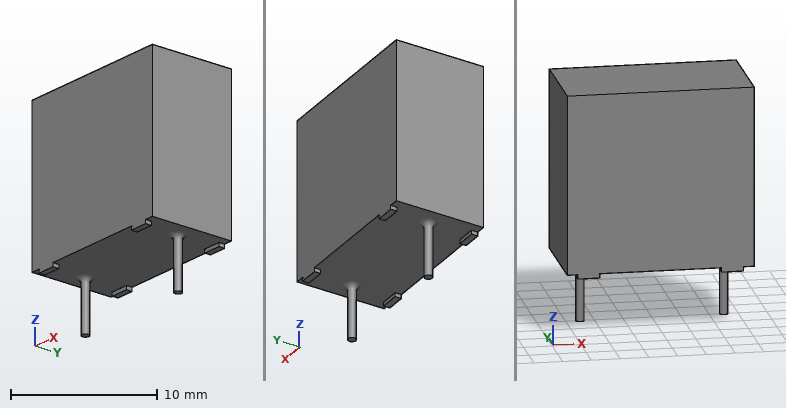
import cadquery as cq

body_length = 13.0
body_width = 7.0
total_height = 17.0
pin_length = 4.25
body_height = total_height - pin_length

pin_diameter = 0.6
pin_pitch = 10.0
flare_radius = 0.46
pin_embed = 0.17

foot_length = 1.53
foot_width = 0.51
foot_height = 0.3

pin_radius = pin_diameter / 2
pin_positions = (-pin_pitch / 2, pin_pitch / 2)


def make_body():
    return cq.Workplane("XY").box(body_length, body_width, body_height, centered=(True, True, False))


def make_pin(x):
    """Pin with a concave quarter-round flare tangent to the pin and the underside."""
    flare_center_x = pin_radius + flare_radius
    flare_mid_offset = flare_radius * 0.5**0.5
    profile = (
        cq.Workplane("XZ")
        .moveTo(0, -pin_length)
        .lineTo(pin_radius, -pin_length)
        .lineTo(pin_radius, -flare_radius)
        .threePointArc(
            (flare_center_x - flare_mid_offset, flare_mid_offset - flare_radius),
            (flare_center_x, 0),
        )
        .lineTo(flare_center_x, pin_embed)
        .lineTo(0, pin_embed)
        .close()
    )
    return profile.revolve(360, (0, 0, 0), (0, 1, 0)).translate((x, 0, 0))


def make_feet():
    foot_y = (body_width - foot_width) / 2
    return (
        cq.Workplane("XY")
        .rarray(pin_pitch, 2 * foot_y, 2, 2)
        .rect(foot_length, foot_width)
        .extrude(-foot_height)
    )


result = make_body().union(make_feet())
for pin_x in pin_positions:
    result = result.union(make_pin(pin_x))